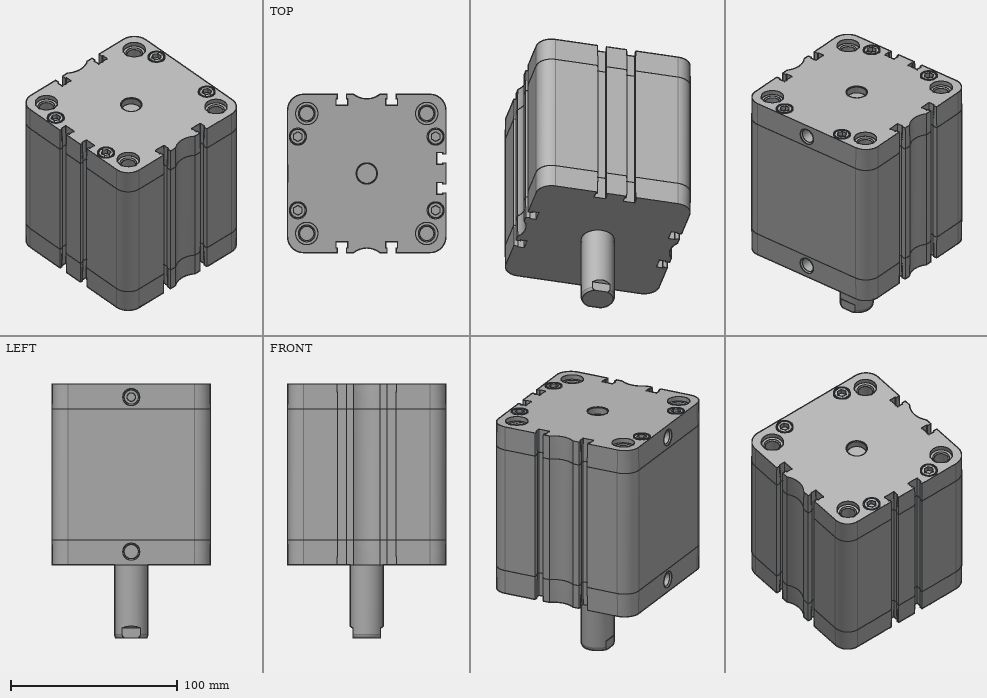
import cadquery as cq
import math

WIDTH = 95.5
TOTAL_LENGTH = 153.0
BODY_LENGTH = 109.0
CAP_LENGTH = 15.0
CORNER_RADIUS = 9.6
CAP_DRAFT = 0.5

SLOT_MOUTH = 5.4
SLOT_INNER_WIDTH = 6.9
SIDE_SLOT_OFFSET = 15.0
SIDE_SLOT_LIP = 2.9
SIDE_SLOT_DEPTH = 6.6
BACK_SLOT_OFFSET = 9.0
BACK_SLOT_LIP = 2.0
BACK_SLOT_DEPTH = 5.5

GROOVE_HALF_WIDTH = 8.0
GROOVE_DEPTH = 2.8

MOUNT_OFFSET = 36.1
MOUNT_BORE_DIAMETER = 13.5
MOUNT_BORE_DEPTH = 2.9
MOUNT_HOLE_DIAMETER = 8.5
MOUNT_HOLE_DEPTH = 12.2
MOUNT_EDGE_DIAMETER = 10.1

SCREW_X = 41.5
SCREW_Y = 22.2
SCREW_RING_OUTER = 10.3
SCREW_RING_INNER = 8.9
SCREW_RING_DEPTH = 0.8
HEX_WIDTH = 5.0
HEX_DEPTH = 3.0
HEX_SIDES = 6

CENTRE_HOLE_DIAMETER = 12.0
CENTRE_HOLE_DEPTH = 4.6
CENTRE_HOLE_CHAMFER = 0.5

PORT_FROM_END = 8.0
PORT_DIAMETER = 8.5
PORT_DEPTH = 9.2
PORT_RIM_DIAMETER = 10.3
PORT_RIM_LAND = 0.3
PORT_INNER_DIAMETER = 5.0
PORT_INNER_DEPTH = 13.8

ROD_DIAMETER = 20.0
ROD_FLATS_WIDTH = 16.8
ROD_FLATS_LENGTH = 6.0
ROD_FLATS_RUNOUT = 1.2
ROD_END_ROUND_LENGTH = 2.0
ROD_END_ROUND_DEPTH = 0.8

HALF = WIDTH / 2
ROD_END = BODY_LENGTH - TOTAL_LENGTH
BARREL_BOTTOM = CAP_LENGTH
BARREL_TOP = BODY_LENGTH - CAP_LENGTH


def t_slot(wire, place, offset, lip, depth):
    """Add one T-slot to an outline that runs along a side in the direction of rising offset.

    `place` turns a distance along the side and a depth below it into a point.
    """
    mouth = SLOT_MOUTH / 2
    inner = SLOT_INNER_WIDTH / 2
    corners = [(-mouth, 0), (-mouth, lip), (-inner, lip), (-inner, depth),
               (inner, depth), (inner, lip), (mouth, lip), (mouth, 0)]
    for along, below in corners:
        wire = wire.lineTo(*place(offset + along, below))
    return wire


def grooved_side(wire, place):
    """Add a T-slot, the round groove and a second T-slot to an outline."""
    wire = t_slot(wire, place, -SIDE_SLOT_OFFSET, SIDE_SLOT_LIP, SIDE_SLOT_DEPTH)
    wire = wire.lineTo(*place(-GROOVE_HALF_WIDTH, 0))
    wire = wire.threePointArc(place(0, GROOVE_DEPTH), place(GROOVE_HALF_WIDTH, 0))
    return t_slot(wire, place, SIDE_SLOT_OFFSET, SIDE_SLOT_LIP, SIDE_SLOT_DEPTH)


def body_outline(plane):
    """Cross-section shared by the barrel and both caps, counter-clockwise from the -Y side."""
    flat = HALF - CORNER_RADIUS
    wire = plane.moveTo(-flat, -HALF)
    wire = grooved_side(wire, lambda along, below: (along, below - HALF))
    wire = wire.lineTo(flat, -HALF).radiusArc((HALF, -flat), -CORNER_RADIUS)
    for offset in (-BACK_SLOT_OFFSET, BACK_SLOT_OFFSET):
        wire = t_slot(wire, lambda along, below: (HALF - below, along),
                      offset, BACK_SLOT_LIP, BACK_SLOT_DEPTH)
    wire = wire.lineTo(HALF, flat).radiusArc((flat, HALF), -CORNER_RADIUS)
    wire = grooved_side(wire, lambda along, below: (-along, HALF - below))
    wire = wire.lineTo(-flat, HALF).radiusArc((-HALF, flat), -CORNER_RADIUS)
    wire = wire.lineTo(-HALF, -flat).radiusArc((-flat, -HALF), -CORNER_RADIUS)
    return wire.close()


def turned(profile):
    """Solid of revolution about the Z axis from (radius, height) points."""
    return cq.Workplane("XZ").polyline(profile).close().revolve(360, (0, 0), (0, 1))


def tapered_cap(seam, length):
    """Plain cap that grows from its seam with the barrel and narrows towards its outer face."""
    plane = cq.Workplane("XY").workplane(offset=seam)
    return body_outline(plane).extrude(length, taper=CAP_DRAFT)


def port_cutter(height, inner_diameter=0):
    """Air port drilled from the -X side: chamfered rim, bore and an optional narrower inner hole."""
    rim = PORT_RIM_DIAMETER / 2
    radius = PORT_DIAMETER / 2
    inner = inner_diameter / 2
    profile = [(0, 0), (rim, 0), (rim, PORT_RIM_LAND), (radius, PORT_RIM_LAND + rim - radius),
               (radius, PORT_DEPTH)]
    if inner:
        profile += [(inner, PORT_DEPTH), (inner, PORT_INNER_DEPTH), (0, PORT_INNER_DEPTH)]
    else:
        profile += [(0, PORT_DEPTH)]
    cutter = turned(profile).rotate((0, 0, 0), (0, 1, 0), 90)
    return cutter.translate((-HALF, 0, height))


def mounting_hole_cutter():
    """Counterbored hole with a chamfered edge below the counterbore, open at height 0."""
    bore = MOUNT_BORE_DIAMETER / 2
    edge = MOUNT_EDGE_DIAMETER / 2
    hole = MOUNT_HOLE_DIAMETER / 2
    edge_end = MOUNT_BORE_DEPTH + edge - hole
    return turned([
        (0, 0), (bore, 0), (bore, -MOUNT_BORE_DEPTH), (edge, -MOUNT_BORE_DEPTH),
        (hole, -edge_end), (hole, -MOUNT_HOLE_DEPTH), (0, -MOUNT_HOLE_DEPTH),
    ])


def screw_cutter():
    """Ring groove around a screw head and the head's hexagon socket, open at height 0."""
    ring = cq.Workplane("XY").circle(SCREW_RING_OUTER / 2).circle(SCREW_RING_INNER / 2)
    half_corner_angle = 180 / HEX_SIDES
    across_corners = HEX_WIDTH / math.cos(math.radians(half_corner_angle))
    socket = cq.Workplane("XY").polygon(HEX_SIDES, across_corners).extrude(-HEX_DEPTH)
    socket = socket.rotate((0, 0, 0), (0, 0, 1), half_corner_angle)
    return ring.extrude(-SCREW_RING_DEPTH).union(socket)


def centre_hole_cutter():
    """Blind centring hole with a chamfered rim, open at height 0."""
    radius = CENTRE_HOLE_DIAMETER / 2
    rim = radius + CENTRE_HOLE_CHAMFER
    return turned([
        (0, 0), (rim, 0), (radius, -CENTRE_HOLE_CHAMFER),
        (radius, -CENTRE_HOLE_DEPTH), (0, -CENTRE_HOLE_DEPTH),
    ])


def make_barrel():
    """Barrel between the caps."""
    plane = cq.Workplane("XY").workplane(offset=BARREL_BOTTOM)
    return body_outline(plane).extrude(BARREL_TOP - BARREL_BOTTOM)


def make_rear_cap():
    """Closed cap with the mounting holes, screw ends, centring hole and stepped air port."""
    cap = tapered_cap(BARREL_TOP, CAP_LENGTH)
    for x_side in (-1, 1):
        for y_side in (-1, 1):
            mount_place = (x_side * MOUNT_OFFSET, y_side * MOUNT_OFFSET, BODY_LENGTH)
            screw_place = (x_side * SCREW_X, y_side * SCREW_Y, BODY_LENGTH)
            cap = cap.cut(mounting_hole_cutter().translate(mount_place))
            cap = cap.cut(screw_cutter().translate(screw_place))
    cap = cap.cut(centre_hole_cutter().translate((0, 0, BODY_LENGTH)))
    return cap.cut(port_cutter(BODY_LENGTH - PORT_FROM_END, PORT_INNER_DIAMETER))


def make_front_cap():
    """Cap with the rod hole and a plain air port."""
    cap = tapered_cap(BARREL_BOTTOM, -CAP_LENGTH)
    rod_hole = cq.Workplane("XY").circle(ROD_DIAMETER / 2).extrude(CAP_LENGTH)
    return cap.cut(rod_hole).cut(port_cutter(PORT_FROM_END))


def make_rod():
    """Piston rod from the barrel down, with a rounded end edge and two wrench flats facing X."""
    radius = ROD_DIAMETER / 2
    round_top = ROD_END + ROD_END_ROUND_LENGTH
    rod = (
        cq.Workplane("XZ").moveTo(0, BARREL_BOTTOM)
        .lineTo(radius, BARREL_BOTTOM)
        .lineTo(radius, round_top)
        .tangentArcPoint((radius - ROD_END_ROUND_DEPTH, ROD_END), relative=False)
        .lineTo(0, ROD_END)
        .close().revolve(360, (0, 0), (0, 1))
    )
    flat = ROD_FLATS_WIDTH / 2
    flat_top = ROD_END + ROD_FLATS_LENGTH
    cutter = (
        cq.Workplane("XZ")
        .polyline([
            (flat, ROD_END), (flat, flat_top),
            (radius, flat_top + ROD_FLATS_RUNOUT), (radius, ROD_END),
        ])
        .close().extrude(radius, both=True)
    )
    return rod.cut(cutter).cut(cutter.mirror("YZ"))


barrel = make_barrel()
rear_cap = make_rear_cap()
front_cap = make_front_cap()
piston_rod = make_rod()
result = cq.Compound.makeCompound([barrel.val(), rear_cap.val(), front_cap.val(), piston_rod.val()])